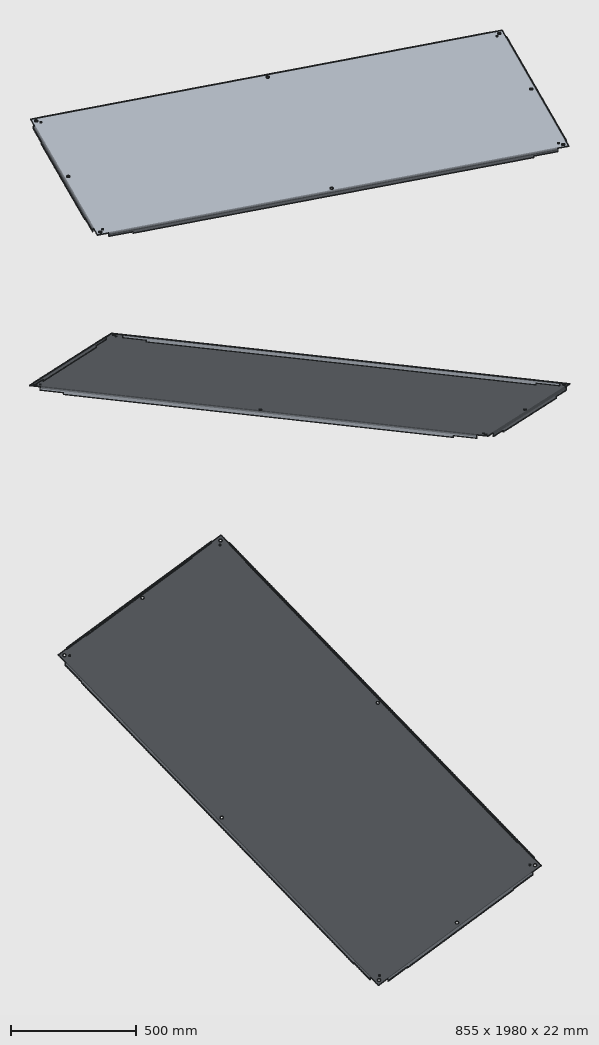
import cadquery as cq

WIDTH = 855.0
LENGTH = 1980.0
HEIGHT = 22.0

SHEET = 2.5
BEND_OUTER_RADIUS = 5.5
BEND_INNER_RADIUS = BEND_OUTER_RADIUS - SHEET

CORNER_SETBACK = 5.0
TAB_WIDTH = WIDTH - 2 * CORNER_SETBACK
TAB_LENGTH = LENGTH - 2 * CORNER_SETBACK

FLANGE_CORNER_GAP = 51.0
UPPER_BAND_DEPTH = 14.8
LOWER_BAND_STEP = 100.0
SIDE_FLANGE_LENGTH = LENGTH - 2 * FLANGE_CORNER_GAP
END_FLANGE_LENGTH = WIDTH - 2 * FLANGE_CORNER_GAP

LARGE_HOLE_DIAMETER = 12.7
LARGE_HOLE_EDGE_DISTANCE = 17.5
SMALL_HOLE_DIAMETER = 7.1
SMALL_HOLE_OFFSET = 14.8
HOLE_X = TAB_WIDTH / 2 - LARGE_HOLE_EDGE_DISTANCE
HOLE_Y = TAB_LENGTH / 2 - LARGE_HOLE_EDGE_DISTANCE


def block(width, length, bottom, top):
    """Box centred on the Z axis, between two heights."""
    return cq.Workplane("XY", origin=(0, 0, bottom)).rect(width, length).extrude(top - bottom)


def flat_sheet():
    """Flat face with its corner tabs, cut back to where each bend begins."""
    flat_bottom = HEIGHT - SHEET
    tabs = block(TAB_WIDTH, TAB_LENGTH, flat_bottom, HEIGHT)
    between_side_bends = block(WIDTH - 2 * BEND_OUTER_RADIUS, LENGTH, flat_bottom, HEIGHT)
    between_end_bends = block(WIDTH, LENGTH - 2 * BEND_OUTER_RADIUS, flat_bottom, HEIGHT)
    side_bends = block(WIDTH, SIDE_FLANGE_LENGTH, flat_bottom, HEIGHT).cut(between_side_bends)
    end_bends = block(END_FLANGE_LENGTH, LENGTH, flat_bottom, HEIGHT).cut(between_end_bends)
    return tabs.cut(side_bends).cut(end_bends)


def folded_channel(width, flange_length):
    """Channel along Y whose two side flanges are folded down and stepped at both ends."""
    outside = block(width, flange_length, 0, HEIGHT).edges("|Y and >Z").fillet(BEND_OUTER_RADIUS)
    inside = block(width - 2 * SHEET, flange_length, 0, HEIGHT - SHEET)
    inside = inside.edges("|Y and >Z").fillet(BEND_INNER_RADIUS)
    upper_band = block(width, flange_length, HEIGHT - UPPER_BAND_DEPTH, HEIGHT)
    lower_band = block(width, flange_length - 2 * LOWER_BAND_STEP, 0, HEIGHT)
    return outside.cut(inside).intersect(upper_band.union(lower_band))


def four_corners(x, y):
    return [(x_sign * x, y_sign * y) for x_sign in (-1, 1) for y_sign in (-1, 1)]


def hole_cutters(diameter, centers):
    """Cylinders that pass right through the flat sheet."""
    return cq.Workplane("XY").pushPoints(centers).circle(diameter / 2).extrude(HEIGHT)


side_channel = folded_channel(WIDTH, SIDE_FLANGE_LENGTH)
end_channel = folded_channel(LENGTH, END_FLANGE_LENGTH).rotate((0, 0, 0), (0, 0, 1), 90)
panel = flat_sheet().union(side_channel).union(end_channel)

edge_middles = [(-HOLE_X, 0), (HOLE_X, 0), (0, -HOLE_Y), (0, HOLE_Y)]
large_centers = four_corners(HOLE_X, HOLE_Y) + edge_middles
small_centers = four_corners(HOLE_X - SMALL_HOLE_OFFSET, HOLE_Y - SMALL_HOLE_OFFSET)

panel = panel.cut(hole_cutters(LARGE_HOLE_DIAMETER, large_centers))
panel = panel.cut(hole_cutters(SMALL_HOLE_DIAMETER, small_centers))
result = panel.solids()